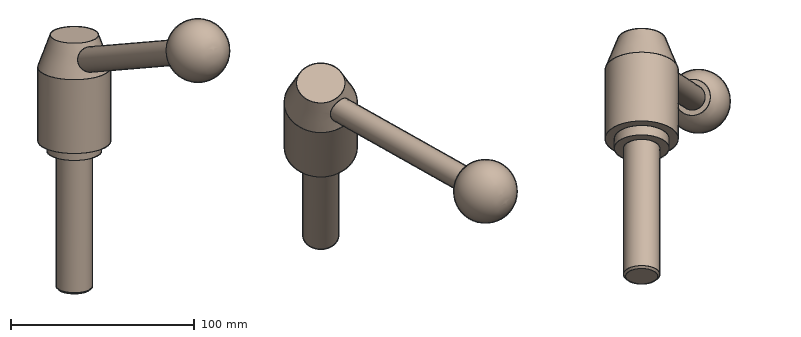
import cadquery as cq
import math

overall_height = 197.3
stud_diameter = 20.0
stud_length = 80.1
stud_chamfer = 1.2
collar_diameter = 30.0
collar_height = 6.0
hub_diameter = 40.0
hub_straight_height = 43.0
hub_top_diameter = 26.5
hub_cone_height = 18.7

arm_diameter = 14.0
arm_angle = math.radians(20)
ball_diameter = 35.0
ball_flat_diameter = 20.0
overall_length = 167.3

ball_radius = ball_diameter / 2
ball_center = cq.Vector(
    overall_length - hub_diameter / 2 - ball_radius, 0, overall_height - ball_radius
)
arm_direction = cq.Vector(math.cos(arm_angle), 0, math.sin(arm_angle))
arm_length = ball_center.x / math.cos(arm_angle)
arm_start = ball_center - arm_direction * arm_length


def make_hub():
    """Chamfered stud, collar and hub with its tapered top."""
    stud = (
        cq.Workplane("XY")
        .circle(stud_diameter / 2)
        .extrude(stud_length)
        .faces("<Z")
        .chamfer(stud_chamfer)
    )
    collar = stud.faces(">Z").workplane().circle(collar_diameter / 2).extrude(collar_height)
    body = collar.faces(">Z").workplane().circle(hub_diameter / 2).extrude(hub_straight_height)
    return (
        body.faces(">Z")
        .workplane()
        .circle(hub_diameter / 2)
        .workplane(offset=hub_cone_height)
        .circle(hub_top_diameter / 2)
        .loft()
    )


def make_arm():
    """Straight round bar from the hub axis to the ball centre."""
    plane = cq.Plane(origin=arm_start, xDir=(0, 1, 0), normal=arm_direction)
    return cq.Workplane(plane).circle(arm_diameter / 2).extrude(arm_length)


def make_ball():
    """Ball knob cut flat where the arm enters it."""
    flat_distance = math.sqrt(ball_radius**2 - (ball_flat_diameter / 2) ** 2)
    flat_center = ball_center - arm_direction * flat_distance
    plane = cq.Plane(origin=flat_center, xDir=(0, 1, 0), normal=arm_direction)
    cutter = cq.Workplane(plane).circle(ball_radius).extrude(-ball_radius)
    return cq.Workplane("XY").sphere(ball_radius).translate(ball_center).cut(cutter)


result = make_hub().union(make_arm()).union(make_ball())